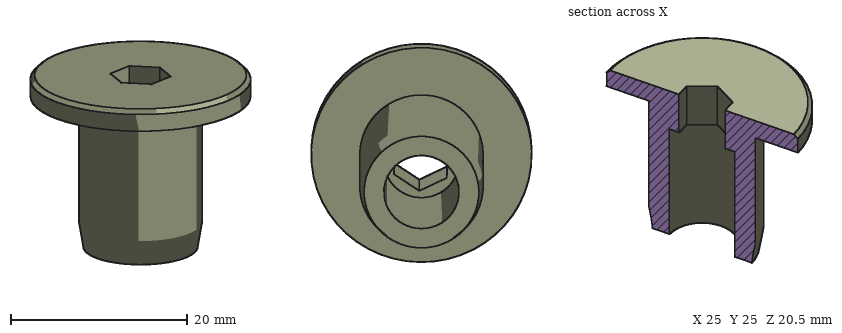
import cadquery as cq
import math

total_height = 20.5
head_diameter = 25
head_thickness = 2.5
head_chamfer = 0.5
shank_diameter = 14
tip_diameter = 13
tip_length = 3
hex_across_flats = 6
bore_diameter = 8.5
bore_depth = 15

head_radius = head_diameter / 2
shank_radius = shank_diameter / 2
tip_radius = tip_diameter / 2
head_underside = total_height - head_thickness
socket_depth = total_height - bore_depth


def make_body():
    """Chamfered disc head on a cylindrical shank with a tapered tip."""
    return (
        cq.Workplane("XZ")
        .moveTo(0, 0)
        .lineTo(tip_radius, 0)
        .lineTo(shank_radius, tip_length)
        .lineTo(shank_radius, head_underside)
        .lineTo(head_radius, head_underside)
        .lineTo(head_radius, total_height - head_chamfer)
        .lineTo(head_radius - head_chamfer, total_height)
        .lineTo(0, total_height)
        .close()
        .revolve(360, (0, 0, 0), (0, 1, 0))
    )


def make_hex_socket():
    """Hexagonal socket from the head face down to the bore, two corners along X."""
    across_corners = hex_across_flats / math.cos(math.pi / 6)
    return (
        cq.Workplane("XY")
        .workplane(offset=bore_depth)
        .polygon(6, across_corners)
        .extrude(socket_depth)
    )


def make_bore():
    """Round bore from the tip up to the hexagonal socket."""
    return cq.Workplane("XY").circle(bore_diameter / 2).extrude(bore_depth)


result = make_body().cut(make_hex_socket()).cut(make_bore())